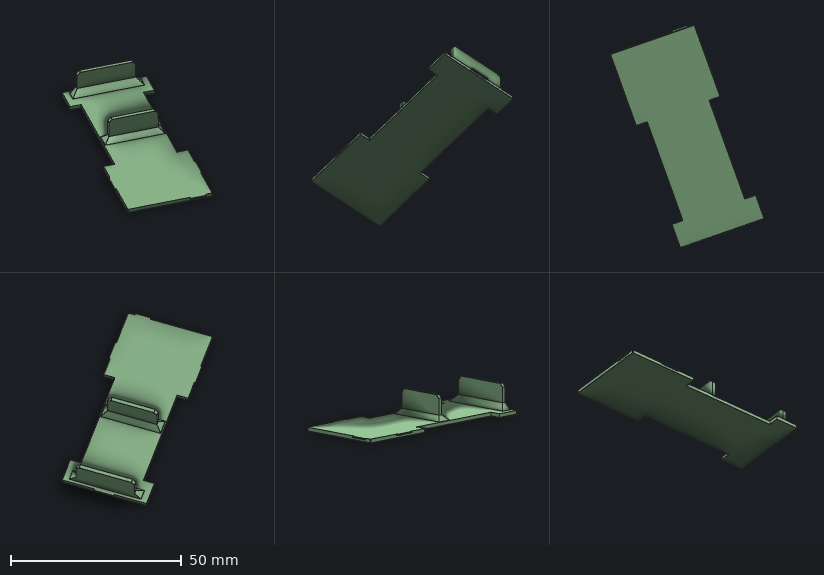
import cadquery as cq

length = 62.2
width = 26.8
height = 8.8

plate_thickness = 1.2
left_tab_reach = 0.45
right_tab_reach = 0.55
side_tab_reach = 0.4
plate_start = left_tab_reach
plate_end = length - right_tab_reach
plate_width = width - 2 * side_tab_reach
neck_width = 19.3
head_end = 7.9
panel_start = 39.0
corner_chamfer = 0.2

tab_thickness = 0.4
left_tab_half_width = 3.1
right_tab_y = (6.1, 11.0)
side_tab_x = (44.8, 50.8)

wall_thickness = 1.2
top_chamfer = 1.0
end_wall_start = 1.35
end_wall_width = 18.1
end_wall_flare = 2.0
middle_wall_start = 26.5
middle_wall_width = 15.25
middle_wall_flare = 1.6


def box(x_range, y_range, z_range):
    """Axis-aligned block between the given limits."""
    sizes = [high - low for low, high in (x_range, y_range, z_range)]
    corner = (x_range[0], y_range[0], z_range[0])
    return cq.Workplane("XY").box(*sizes, centered=False).translate(corner)


def wide_section(x_start, x_end):
    """Full-width stretch of plate."""
    half_width = plate_width / 2
    return box((x_start, x_end), (-half_width, half_width), (0, plate_thickness))


def make_plate():
    """Head, neck and panel, with the four outermost upright corners chamfered."""
    head = wide_section(plate_start, head_end).edges("|Z and <X").chamfer(corner_chamfer)
    panel = wide_section(panel_start, plate_end).edges("|Z and >X").chamfer(corner_chamfer)
    neck = box((head_end, panel_start), (-neck_width / 2, neck_width / 2), (0, plate_thickness))
    return head.union(neck).union(panel)


def make_tabs():
    """Tabs at both ends, and a strip across the panel forming the two side tabs."""
    tab_z = (plate_thickness - tab_thickness, plate_thickness)
    left = box((0, head_end), (-left_tab_half_width, left_tab_half_width), tab_z)
    right = box((panel_start, length), right_tab_y, tab_z)
    sides = box(side_tab_x, (-width / 2, width / 2), tab_z)
    return left.union(right).union(sides)


def make_wall(x_start, wall_width, flare, left_flare):
    """Upright wall with chamfered top corners on a 45 degree flared foot."""
    x_end = x_start + wall_thickness
    half_width = wall_width / 2
    wall = box((x_start, x_end), (-half_width, half_width), (plate_thickness, height))
    wall = wall.edges("|X and >Z").chamfer(top_chamfer)

    foot_start = x_start - left_flare
    foot_end = x_end + flare
    foot = (
        cq.Workplane("XY", origin=(0, 0, plate_thickness))
        .center((foot_start + foot_end) / 2, 0)
        .rect(foot_end - foot_start, wall_width + 2 * flare)
        .workplane(offset=flare)
        .center((flare - left_flare) / -2, 0)
        .rect(wall_thickness, wall_width)
        .loft(ruled=True)
    )
    return wall.union(foot)


end_wall = make_wall(end_wall_start, end_wall_width, end_wall_flare, left_flare=0)
middle_wall = make_wall(
    middle_wall_start, middle_wall_width, middle_wall_flare, left_flare=middle_wall_flare
)

result = make_plate().union(make_tabs()).union(end_wall).union(middle_wall)